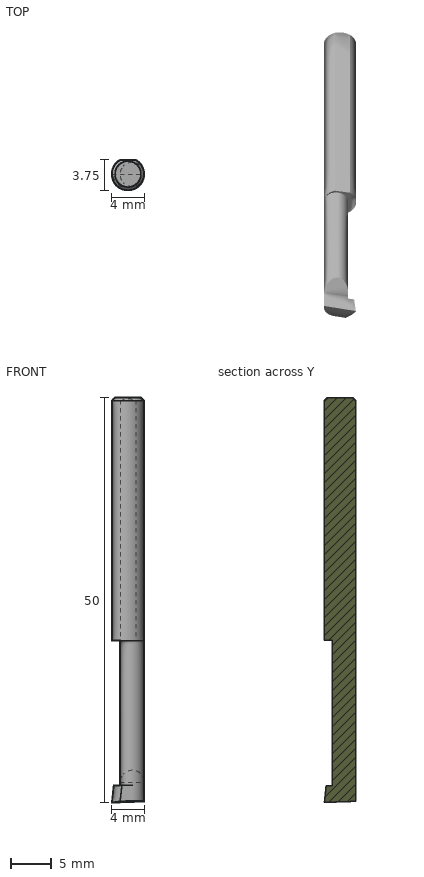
import cadquery as cq
import math

total_length = 50.0
neck_length = 20.0

shank_radius = 2.0
flat_offset = 1.75
top_chamfer = 0.4

neck_radius = 1.5
neck_center_x = shank_radius - neck_radius

relief_flat_height = 2.55
relief_angle = 45.0

tooth_height = 2.15
tooth_lean = math.tan(math.radians(6.0))
tip_x = -shank_radius
flank_radius = 2.8
flank_break_x = -1.43
flank_break_y = -1.03
heel_x = -0.98

end_relief_y = math.tan(math.radians(6.0))
end_relief_x = math.tan(math.radians(2.0))

clearance = 1.0


def make_shank():
    shank_length = total_length - neck_length
    top_radius = shank_radius - top_chamfer
    shank = (
        cq.Workplane("XZ")
        .moveTo(0, neck_length)
        .lineTo(shank_radius, neck_length)
        .lineTo(shank_radius, total_length - top_chamfer)
        .lineTo(top_radius, total_length)
        .lineTo(0, total_length)
        .close()
        .revolve(360, (0, 0, 0), (0, 1, 0))
    )
    beyond_flat = cq.Workplane("XY").box(
        2 * shank_radius, shank_radius, shank_length, centered=(True, False, False)
    )
    return shank.cut(beyond_flat.translate((0, flat_offset, neck_length)))


def make_neck():
    return cq.Workplane("XY").center(neck_center_x, 0).circle(neck_radius).extrude(neck_length)


def draw_tooth_section(workplane, z):
    """Add the tooth outline at height z, with its side flank as a convex arc."""
    shift = z * tooth_lean
    return (
        workplane.moveTo(tip_x + shift, 0)
        .radiusArc((flank_break_x + shift, flank_break_y), -flank_radius)
        .lineTo(heel_x + shift, -neck_radius)
        .lineTo(neck_center_x, -neck_radius)
        .lineTo(neck_center_x, 0)
        .close()
    )


def make_tooth():
    bottom = draw_tooth_section(cq.Workplane("XY"), 0)
    both_ends = draw_tooth_section(bottom.workplane(offset=tooth_height, origin=(0, 0, 0)), tooth_height)
    return both_ends.loft(ruled=True)


def make_rake_relief():
    """Everything on the +Y side below the sloped run-out of the rake face."""
    reach = neck_radius + clearance
    run_out_height = relief_flat_height + reach * math.tan(math.radians(relief_angle))
    return (
        cq.Workplane("YZ")
        .moveTo(0, -clearance)
        .lineTo(0, relief_flat_height)
        .lineTo(reach, run_out_height)
        .lineTo(reach, -clearance)
        .close()
        .extrude(shank_radius + clearance, both=True)
    )


def make_end_relief():
    """Half-space block below the end plane, which passes through the tooth tip."""
    plane = cq.Plane(
        origin=(tip_x, 0, 0),
        xDir=(1, 0, end_relief_x),
        normal=(-end_relief_x, end_relief_y, 1),
    )
    block_size = 6 * shank_radius
    return cq.Workplane(plane).rect(block_size, block_size).extrude(-clearance)


result = (
    make_shank()
    .union(make_neck())
    .union(make_tooth())
    .cut(make_rake_relief())
    .cut(make_end_relief())
)